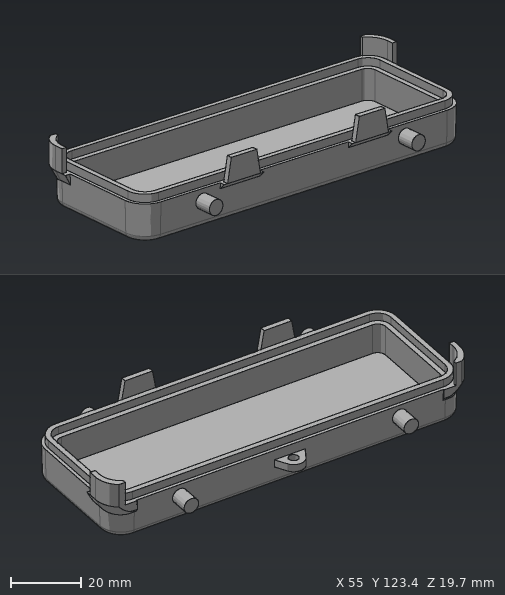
import cadquery as cq
import math

length = 123.4
pin_span = 55.0
total_height = 19.7

body_width = 43.1
body_length = 120.0
shoulder_height = 12.0
corner_radius = 7.3
draft_angle = 1.5
bottom_fillet = 1.9

lip_top = 14.5
lip_inset = 1.1
lip_inner_inset = 2.8
cavity_inset = 4.6
ledge_height = shoulder_height
floor_height = 2.1

pin_diameter = 4.9
pin_height = 8.0
pin_offset = 37.3

eyelet_x = -23.5
eyelet_radius = 3.6
eyelet_hole = 3.1
eyelet_half_base = 5.2
eyelet_bottom = 6.2
eyelet_thickness = 2.5

tab_offset = 23.6
tab_outer_x = 23.3
tab_half_top = 4.7
tab_taper = 10.0
tab_foot_half = 7.3

guard_outer_x = -21.8
guard_end_x = -12.1
guard_end_y = 56.0
guard_radius = 8.5
guard_arc_x = -14.9
bracket_end_x = -10.5
bracket_end_y = 52.0
bracket_depth = 4.9
bracket_taper = 28.0

half_width = body_width / 2
embed = 1.2


def rounded_block(inset, z_bottom, z_top):
    """Upright block following the body outline moved inwards by inset."""
    return (
        cq.Workplane("XY")
        .workplane(offset=z_bottom)
        .rect(body_width - 2 * inset, body_length - 2 * inset)
        .extrude(z_top - z_bottom)
        .edges("|Z")
        .fillet(corner_radius - inset)
    )


def box_between(x_min, x_max, y_min, y_max, z_min, z_max):
    """Block filling the given coordinate ranges."""
    return cq.Workplane("XY").box(
        x_max - x_min, y_max - y_min, z_max - z_min, centered=False
    ).translate((x_min, y_min, z_min))


def tray_shell():
    """Drafted outer shape with a rounded bottom edge and a raised lip."""
    outline = cq.Sketch().rect(body_width, body_length).vertices().fillet(corner_radius)
    shell = (
        cq.Workplane("XY")
        .workplane(offset=shoulder_height)
        .placeSketch(outline)
        .extrude(-shoulder_height, taper=draft_angle)
        .faces("<Z")
        .edges()
        .fillet(bottom_fillet)
    )
    return shell.union(rounded_block(lip_inset, shoulder_height - embed, lip_top))


def hinge_pins():
    """Two pins running across the body and sticking out of both long walls."""
    return (
        cq.Workplane("YZ")
        .workplane(offset=-pin_span / 2)
        .pushPoints([(-pin_offset, pin_height), (pin_offset, pin_height)])
        .circle(pin_diameter / 2)
        .extrude(pin_span)
    )


def eyelet():
    """Round eye whose sides run straight, tangent to the eye, into the wall."""
    base_x = -half_width
    reach = math.hypot(base_x - eyelet_x, eyelet_half_base)
    base_angle = math.atan2(eyelet_half_base, base_x - eyelet_x)
    tangent_angle = base_angle + math.acos(eyelet_radius / reach)
    tangent_x = eyelet_x + eyelet_radius * math.cos(tangent_angle)
    tangent_y = eyelet_radius * math.sin(tangent_angle)
    return (
        cq.Workplane("XY")
        .workplane(offset=eyelet_bottom)
        .moveTo(base_x + embed, -eyelet_half_base)
        .lineTo(base_x, -eyelet_half_base)
        .lineTo(tangent_x, -tangent_y)
        .threePointArc((eyelet_x - eyelet_radius, 0), (tangent_x, tangent_y))
        .lineTo(base_x, eyelet_half_base)
        .lineTo(base_x + embed, eyelet_half_base)
        .close()
        .extrude(eyelet_thickness)
    )


def eyelet_bore():
    """Hole through the eyelet, stopping at its top and bottom faces."""
    return (
        cq.Workplane("XY")
        .workplane(offset=eyelet_bottom)
        .center(eyelet_x, 0)
        .circle(eyelet_hole / 2)
        .extrude(eyelet_thickness)
    )


def locating_tab(y_center):
    """Tapered tab standing on a wider foot with a 45 degree underside."""
    thickness = tab_outer_x - half_width
    half_base = tab_half_top + (total_height - shoulder_height) * math.tan(math.radians(tab_taper))
    blade = (
        cq.Workplane("YZ")
        .workplane(offset=half_width)
        .polyline([
            (y_center - half_base, shoulder_height),
            (y_center + half_base, shoulder_height),
            (y_center + tab_half_top, total_height),
            (y_center - tab_half_top, total_height),
        ])
        .close()
        .extrude(thickness)
    )
    foot = (
        cq.Workplane("XZ", origin=(0, y_center, 0))
        .polyline([
            (half_width - embed, shoulder_height),
            (tab_outer_x, shoulder_height),
            (half_width - embed, shoulder_height - thickness - embed),
        ])
        .close()
        .extrude(tab_foot_half, both=True)
    )
    return foot.union(blade)


def guard_blank(height, taper=0):
    """Rounded block, larger than the body, rising (or hanging, if negative) from the shoulder."""
    half_span = guard_radius - guard_arc_x
    outline = cq.Sketch().rect(2 * half_span, length).vertices().fillet(guard_radius)
    return (
        cq.Workplane("XY")
        .workplane(offset=shoulder_height)
        .placeSketch(outline)
        .extrude(height, taper=taper)
    )


def corner_guard():
    """Guard at the (-X, +Y) corner: upright wall on a flared bracket."""
    y_max = length / 2
    bracket_bottom = shoulder_height - bracket_depth
    wall = (
        guard_blank(total_height - shoulder_height)
        .intersect(box_between(guard_outer_x, guard_end_x, guard_end_y, y_max, shoulder_height, total_height))
        .cut(rounded_block(0, shoulder_height, total_height))
    )
    bracket = guard_blank(-bracket_depth, bracket_taper).intersect(
        box_between(guard_outer_x, bracket_end_x, bracket_end_y, y_max, bracket_bottom, shoulder_height)
    )
    return bracket.union(wall)


guard = corner_guard()
result = tray_shell().union(hinge_pins()).union(eyelet()).cut(eyelet_bore())
for side in (-1, 1):
    result = result.union(locating_tab(side * tab_offset))
result = result.union(guard).union(guard.mirror("XZ"))

result = result.cut(rounded_block(cavity_inset, floor_height, lip_top))
result = result.cut(rounded_block(lip_inner_inset, ledge_height, lip_top))